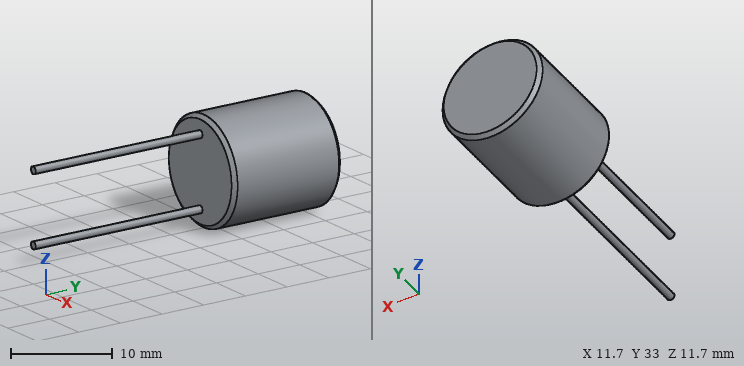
import cadquery as cq

total_length = 33.0
body_length = 13.0
body_diameter = 11.7
rim_chamfer = 0.43
lead_diameter = 0.82
lead_spacing = 7.8

lead_length = total_length - body_length


def make_body():
    """Cylindrical can along +Y, chamfered at both rims."""
    can = cq.Workplane("XZ").circle(body_diameter / 2).extrude(-body_length)
    return can.edges("%CIRCLE").chamfer(rim_chamfer)


def make_leads():
    """Two round wires running toward -Y from the lead face at Y = 0."""
    return (
        cq.Workplane("XZ")
        .pushPoints([(0, lead_spacing / 2), (0, -lead_spacing / 2)])
        .circle(lead_diameter / 2)
        .extrude(lead_length)
    )


result = make_body().union(make_leads())